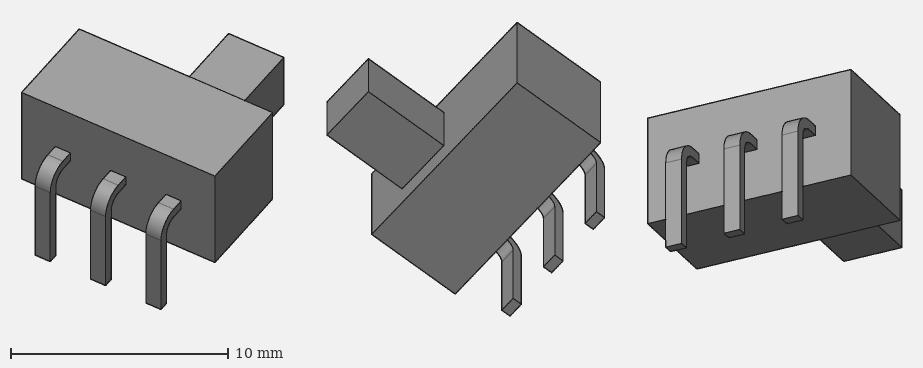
import cadquery as cq

total_length = 11.25
total_height = 8.0

body_width = 10.5
body_height = 5.5

knob_length = 4.5
knob_side = 3.0
knob_offset = 1.54

pin_count = 3
pin_pitch = 3.0
pin_width = 0.82
pin_thickness = 0.5
pin_reach = 1.75
bend_outer_radius = 1.1

body_depth = total_length - knob_length - pin_reach
bend_inner_radius = bend_outer_radius - pin_thickness
pin_drop = total_height - body_height
mid_height = body_height / 2


def make_body():
    return cq.Workplane("XY").box(body_width, body_depth, body_height, centered=(True, False, False))


def make_knob():
    """Square bar, centred on the housing height and shifted to +X."""
    return (
        cq.Workplane("XY")
        .box(knob_side, knob_length, knob_side, centered=(True, False, True))
        .translate((knob_offset, body_depth, mid_height))
    )


def make_pin(x_center):
    """Flat strip leaving the front face and bending downwards through 90 degrees."""
    top = mid_height + pin_thickness / 2
    bend_y = bend_outer_radius - pin_reach
    bend_z = top - bend_outer_radius
    return (
        cq.Workplane("YZ", origin=(x_center, 0, 0))
        .moveTo(0, top)
        .lineTo(bend_y, top)
        .radiusArc((-pin_reach, bend_z), -bend_outer_radius)
        .lineTo(-pin_reach, -pin_drop)
        .lineTo(pin_thickness - pin_reach, -pin_drop)
        .lineTo(pin_thickness - pin_reach, bend_z)
        .radiusArc((bend_y, top - pin_thickness), bend_inner_radius)
        .lineTo(0, top - pin_thickness)
        .close()
        .extrude(pin_width / 2, both=True)
    )


result = make_body().union(make_knob())
for index in range(pin_count):
    result = result.union(make_pin((index - (pin_count - 1) / 2) * pin_pitch))